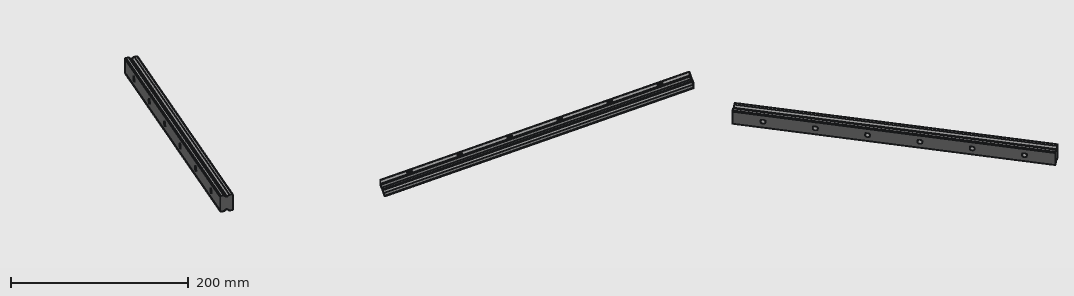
import cadquery as cq

length = 370.0
width = 15.5
height = 20.0
corner_chamfer = 1.0

groove_mouth = 6.5
groove_floor = 1.0
groove_depth = 2.05

hole_count = 6
hole_pitch = 60.0
hole_diameter = 6.0


def rail_body():
    """Rectangular bar along X with its four long edges chamfered."""
    return cq.Workplane("XY").box(length, width, height).edges("|X").chamfer(corner_chamfer)


def groove_cutter(side):
    """Tapered groove along X; side is +1 for the top face and -1 for the bottom."""
    face_z = side * height / 2
    floor_z = side * (height / 2 - groove_depth)
    profile = [
        (-groove_mouth / 2, face_z),
        (-groove_floor / 2, floor_z),
        (groove_floor / 2, floor_z),
        (groove_mouth / 2, face_z),
    ]
    return cq.Workplane("YZ").polyline(profile).close().extrude(length / 2, both=True)


def mounting_holes():
    """Row of through holes along Y, centred on the rail."""
    return (
        cq.Workplane("XZ")
        .rarray(hole_pitch, 3.7, hole_count, 1)
        .circle(hole_diameter / 2)
        .extrude(width, both=True)
    )


result = rail_body()
for groove_side in (1, -1):
    result = result.cut(groove_cutter(groove_side))
result = result.cut(mounting_holes())